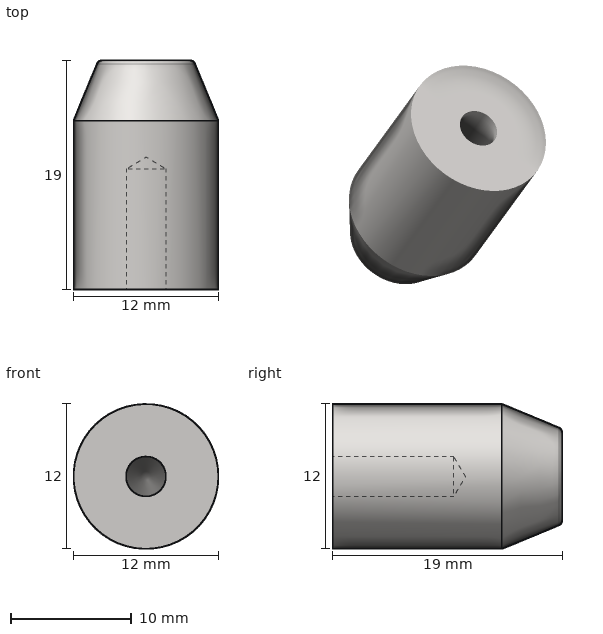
import cadquery as cq
import math

length = 19.0
body_diameter = 12.0
nose_length = 5.0
nose_half_angle = 22.5
nose_rounding = 0.5
hole_diameter = 3.3
hole_depth = 10.0
drill_point_angle = 118

body_radius = body_diameter / 2
tip_radius = body_radius - nose_length * math.tan(math.radians(nose_half_angle))
hole_radius = hole_diameter / 2
drill_point_length = hole_radius / math.tan(math.radians(drill_point_angle / 2))

front_y = -length / 2
back_y = length / 2


def make_body():
    """Cylinder and tapered nose, revolved about the Y axis."""
    profile = (
        cq.Workplane("XY")
        .moveTo(0, front_y)
        .lineTo(body_radius, front_y)
        .lineTo(body_radius, back_y - nose_length)
        .lineTo(tip_radius, back_y)
        .lineTo(0, back_y)
        .close()
    )
    body = profile.revolve(360, (0, 0, 0), (0, 1, 0))
    return body.faces(">Y").edges().fillet(nose_rounding)


def make_blind_hole():
    """Drilled hole with a conical bottom, entering from the -Y face."""
    hole_bottom_y = front_y + hole_depth
    profile = (
        cq.Workplane("XY")
        .moveTo(0, front_y)
        .lineTo(hole_radius, front_y)
        .lineTo(hole_radius, hole_bottom_y)
        .lineTo(0, hole_bottom_y + drill_point_length)
        .close()
    )
    return profile.revolve(360, (0, 0, 0), (0, 1, 0))


result = make_body().cut(make_blind_hole())